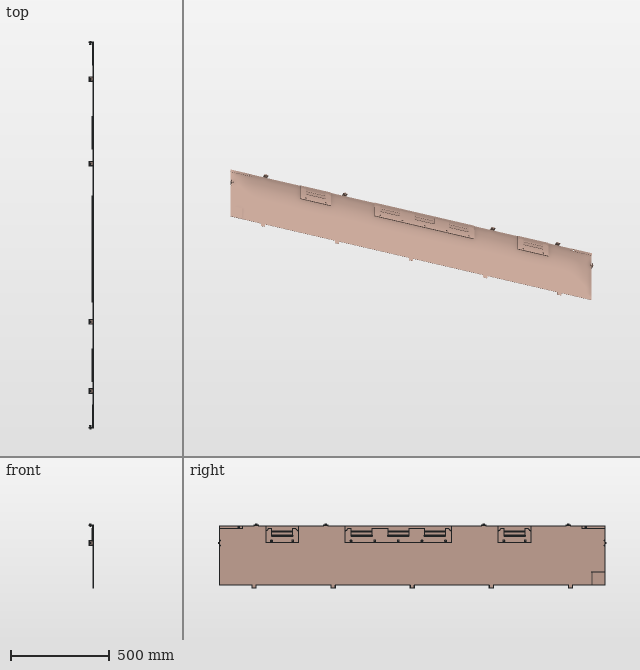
import cadquery as cq


OVERALL_DEPTH = 21.0
OVERALL_LENGTH = 1958.2
OVERALL_HEIGHT = 325.0
Z_MAX = OVERALL_HEIGHT / 2
Z_MIN = -OVERALL_HEIGHT / 2

SHEET = 1.5
PANEL_LENGTH = 1950.0
PANEL_TOP = 153.0
PANEL_BOTTOM = PANEL_TOP - 300.0
PANEL_END = PANEL_LENGTH / 2

TAB_WIDTH = 22.0
TAB_PITCH = 400.0
TAB_COUNT = 5

STRIP_LENGTH = 116.0
STRIP_BOTTOM = PANEL_TOP - 14.5
STRIP_DEPTH = 2 * SHEET
STRIP_SLOT_FROM_END = 99.0
STRIP_SLOT_WIDTH = 5.0
STRIP_SLOT_HEIGHT = 9.5
STRIP_SLOT_SILL = 1.5

PAD_WIDTH = 69.0
PAD_HEIGHT = 67.5
PAD_DEPTH = SHEET + 1.0
PAD_BEVEL = 6.0

BRACKET_BOTTOM = 68.0
COVER_TOP = 138.5
BACKING_DEPTH = 5.0
COVER_DEPTH = 7.0
COVER_CORNER = 14.0
WINDOW_WIDTH = 106.0
WINDOW_BOTTOM = 101.0
SLOT_HEIGHT = 4.0
RIB_BOTTOM = 121.0
RIB_HEIGHT = 6.0
RIB_END_GAP = 3.0
SCREW_DIAMETER = 9.0
SCREW_Z = BRACKET_BOTTOM + 9.0

SHORT_BRACKET_LENGTH = 165.0
SHORT_BRACKET_CENTRES = (517.0, -657.5)
SHORT_SCREW_OFFSETS = (-54.0, 54.0)

LONG_BRACKET_LENGTH = 537.0
LONG_BRACKET_CENTRE = -70.5
LONG_WINDOW_PITCH = 185.0
LONG_SCREW_PITCH = 119.5

CLIP_WIDTH = 23.0
CLIP_RISE = 3.0
STUD_DIAMETER = 5.0
HEAD_DIAMETER = 9.0
HEAD_THICKNESS = 3.0
STUD_DEPTH = OVERALL_DEPTH - 6.0
TOP_CLIP_CENTRES = (788.0, 361.0, -438.0, -788.0)
TOP_TIP_DIAMETER = 7.0
TOP_STUD_BOTTOM = 149.0
END_CLIP_Z = 66.0
END_STUD_REACH = 12.0
RELIEF_LENGTH = 5.0
RELIEF_HEIGHT = 2.0


def block(y_low, y_high, z_low, z_high, depth_low, depth_high):
    """Box between two Y, two Z and two depth limits."""
    return cq.Workplane("XY").box(
        depth_high - depth_low, y_high - y_low, z_high - z_low, centered=False
    ).translate((-depth_high, y_low, z_low))


def rod_y(diameter, y_low, y_high, depth, z):
    """Round rod along Y."""
    start = cq.Vector(-depth, y_low, z)
    return cq.Workplane(cq.Solid.makeCylinder(diameter / 2, y_high - y_low, start, cq.Vector(0, 1, 0)))


def rod_z(diameter, z_low, z_high, depth, y):
    """Round rod along Z."""
    start = cq.Vector(-depth, y, z_low)
    return cq.Workplane(cq.Solid.makeCylinder(diameter / 2, z_high - z_low, start, cq.Vector(0, 0, 1)))


def centred_row(count, pitch, centre=0.0):
    """Evenly spaced positions centred on a point."""
    return [centre + (i - (count - 1) / 2) * pitch for i in range(count)]


def panel():
    """Flat sheet with the locating tabs below it."""
    body = block(-PANEL_END, PANEL_END, PANEL_BOTTOM, PANEL_TOP, 0, SHEET)
    for y in centred_row(TAB_COUNT, TAB_PITCH):
        body = body.union(block(y - TAB_WIDTH / 2, y + TAB_WIDTH / 2, Z_MIN, PANEL_BOTTOM, 0, SHEET))
    return body


def add_corner_strips(body):
    """Strips along the top edge at both ends, slotted near their inner ends."""
    strip = block(PANEL_END - STRIP_LENGTH, PANEL_END, STRIP_BOTTOM, PANEL_TOP, 0, STRIP_DEPTH)
    slot_y = PANEL_END - STRIP_SLOT_FROM_END
    slot_bottom = STRIP_BOTTOM + STRIP_SLOT_SILL
    slot = block(
        slot_y - STRIP_SLOT_WIDTH / 2, slot_y + STRIP_SLOT_WIDTH / 2,
        slot_bottom, slot_bottom + STRIP_SLOT_HEIGHT, 0, STRIP_DEPTH,
    )
    body = body.union(strip).union(strip.mirror("XZ"))
    return body.cut(slot).cut(slot.mirror("XZ"))


def corner_pad():
    """Thin pad in the bottom corner, its inner edge sloping down to the sheet."""
    inner = PANEL_END - PAD_WIDTH
    outline = [
        (0, inner),
        (-SHEET, inner),
        (-PAD_DEPTH, inner + PAD_BEVEL),
        (-PAD_DEPTH, PANEL_END),
        (0, PANEL_END),
    ]
    return cq.Workplane("XY").workplane(offset=PANEL_BOTTOM).polyline(outline).close().extrude(PAD_HEIGHT)


def add_bracket(body, centre, length, window_centres, screw_centres):
    """Backing plate and cover with open-topped windows; each window has a rib and a slot."""
    left = centre - length / 2
    right = centre + length / 2
    cover = block(left, right, BRACKET_BOTTOM, COVER_TOP, 0, COVER_DEPTH)
    cover = cover.edges("|X and >Z").chamfer(COVER_CORNER)
    body = body.union(block(left, right, BRACKET_BOTTOM, PANEL_TOP, 0, BACKING_DEPTH)).union(cover)
    for y in window_centres:
        y_low = y - WINDOW_WIDTH / 2
        y_high = y + WINDOW_WIDTH / 2
        body = body.cut(block(y_low, y_high, WINDOW_BOTTOM, COVER_TOP, BACKING_DEPTH, COVER_DEPTH))
        body = body.cut(block(y_low, y_high, WINDOW_BOTTOM, WINDOW_BOTTOM + SLOT_HEIGHT, 0, COVER_DEPTH))
        body = body.union(block(
            y_low + RIB_END_GAP, y_high - RIB_END_GAP, RIB_BOTTOM, RIB_BOTTOM + RIB_HEIGHT, 0, COVER_DEPTH,
        ))
    screws = (
        cq.Workplane("YZ", origin=(-COVER_DEPTH, 0, 0))
        .pushPoints([(y, SCREW_Z) for y in screw_centres])
        .circle(SCREW_DIAMETER / 2)
        .extrude(COVER_DEPTH - SHEET)
    )
    return body.cut(screws)


def add_all_brackets(body):
    """One short bracket toward each end and the long three-window bracket between them."""
    for centre in SHORT_BRACKET_CENTRES:
        screws = [centre + offset for offset in SHORT_SCREW_OFFSETS]
        body = add_bracket(body, centre, SHORT_BRACKET_LENGTH, [centre], screws)
    windows = centred_row(3, LONG_WINDOW_PITCH, LONG_BRACKET_CENTRE)
    screws = centred_row(5, LONG_SCREW_PITCH, LONG_BRACKET_CENTRE)
    return add_bracket(body, LONG_BRACKET_CENTRE, LONG_BRACKET_LENGTH, windows, screws)


def top_clip(y):
    """Flange bent out above the top edge, its stud passing through and standing up."""
    y_low = y - CLIP_WIDTH / 2
    y_high = y + CLIP_WIDTH / 2
    flange_top = PANEL_TOP + CLIP_RISE
    riser = block(y_low, y_high, PANEL_TOP, flange_top, 0, SHEET)
    flange = block(y_low, y_high, flange_top - SHEET, flange_top, 0, OVERALL_DEPTH)
    tip = rod_z(TOP_TIP_DIAMETER, flange_top - SHEET, Z_MAX, STUD_DEPTH, y)
    shank = rod_z(STUD_DIAMETER, TOP_STUD_BOTTOM, flange_top, STUD_DEPTH, y)
    return riser.union(flange).union(tip).union(shank)


def cut_end_reliefs(body):
    """Bend reliefs in both panel ends, just above and below the end flanges."""
    flange_top = END_CLIP_Z + CLIP_WIDTH / 2
    flange_bottom = END_CLIP_Z - CLIP_WIDTH / 2
    for z_low in (flange_top, flange_bottom - RELIEF_HEIGHT):
        relief = block(PANEL_END - RELIEF_LENGTH, PANEL_END, z_low, z_low + RELIEF_HEIGHT, 0, SHEET)
        body = body.cut(relief).cut(relief.mirror("XZ"))
    return body


def end_clip():
    """Flange bent out at the +Y end, its headed stud pointing inward."""
    z_low = END_CLIP_Z - CLIP_WIDTH / 2
    z_high = END_CLIP_Z + CLIP_WIDTH / 2
    flange = block(PANEL_END - SHEET, PANEL_END, z_low, z_high, 0, OVERALL_DEPTH)
    head_y = PANEL_END - END_STUD_REACH
    shank = rod_y(STUD_DIAMETER, head_y, OVERALL_LENGTH / 2, STUD_DEPTH, END_CLIP_Z)
    head = rod_y(HEAD_DIAMETER, head_y, head_y + HEAD_THICKNESS, STUD_DEPTH, END_CLIP_Z)
    return flange.union(shank).union(head)


result = add_corner_strips(panel()).union(corner_pad())
result = add_all_brackets(result)
for clip_y in TOP_CLIP_CENTRES:
    result = result.union(top_clip(clip_y))
result = cut_end_reliefs(result)
result = result.union(end_clip()).union(end_clip().mirror("XZ"))